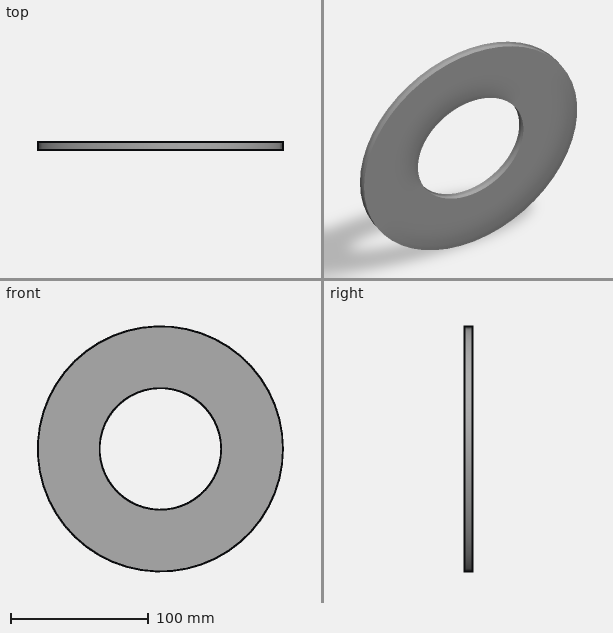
import cadquery as cq

OUTER_DIAMETER = 178.0
HOLE_DIAMETER = 88.0
THICKNESS = 6.0


def make_ring():
    """Ring with its back face on the XZ plane and its front face towards -Y."""
    outline = cq.Workplane("XZ").circle(OUTER_DIAMETER / 2).circle(HOLE_DIAMETER / 2)
    return outline.extrude(THICKNESS)


result = make_ring()